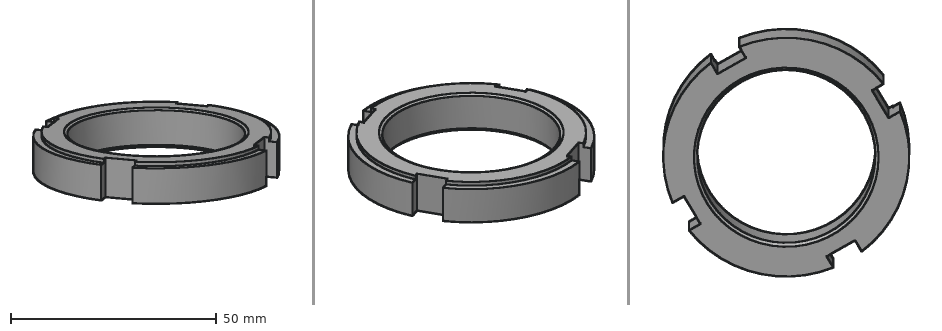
import cadquery as cq
import math

outer_diameter = 60.0
height = 10.0
shoulder_diameter = 56.0
shoulder_height = 1.0
bore_diameter = 43.38
bore_mouth_diameter = 45.0
top_chamfer_angle = 30.0
bottom_chamfer_angle = 45.0
slot_width = 8.0
slot_floor_distance = 26.5
slot_count = 4

outer_radius = outer_diameter / 2
shoulder_radius = shoulder_diameter / 2
bore_radius = bore_diameter / 2
bore_mouth_radius = bore_mouth_diameter / 2
rim_height = height - shoulder_height
chamfer_width = bore_mouth_radius - bore_radius
top_chamfer_depth = chamfer_width * math.tan(math.radians(top_chamfer_angle))
bottom_chamfer_depth = chamfer_width * math.tan(math.radians(bottom_chamfer_angle))


def make_ring():
    """Revolved ring with a raised shoulder and a bore chamfered at both ends."""
    section = [
        (bore_mouth_radius, 0),
        (outer_radius, 0),
        (outer_radius, rim_height),
        (shoulder_radius, rim_height),
        (shoulder_radius, height),
        (bore_mouth_radius, height),
        (bore_radius, height - top_chamfer_depth),
        (bore_radius, bottom_chamfer_depth),
    ]
    return cq.Workplane("XZ").polyline(section).close().revolve(360, (0, 0, 0), (0, 1, 0))


def make_slot(angle):
    """Full-height cutter for a flat-floored spanner slot in the rim."""
    slot_length = outer_radius - slot_floor_distance
    return (
        cq.Workplane("XY")
        .box(slot_length, slot_width, height, centered=(False, True, False))
        .translate((slot_floor_distance, 0, 0))
        .rotate((0, 0, 0), (0, 0, 1), angle)
    )


result = make_ring()
for slot_index in range(slot_count):
    result = result.cut(make_slot(slot_index * 360 / slot_count))